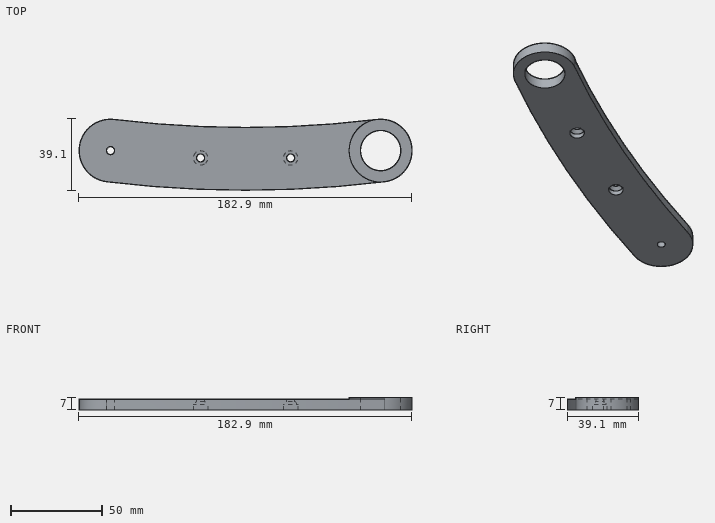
import cadquery as cq
import math

length = 182.95
arm_width = 34.6
overall_width = 39.12
plate_thickness = 6.0
ring_height = 7.0
ring_bore = 22.0
screw_hole_diameter = 4.3
head_diameter = 7.9
head_recess_depth = 3.0
span_divisions = 3

end_radius = arm_width / 2
span = length - arm_width
bow = overall_width - arm_width
arc_radius = ((span / 2) ** 2 + bow ** 2) / (2 * bow)
arc_center_x = span / 2
arc_center_y = arc_radius - bow
hole_pitch = span / span_divisions


def point_on_arc(x, offset=0.0):
    """Point where the arc radius through the centreline at x meets an offset arc."""
    across = x - arc_center_x
    down = math.sqrt(arc_radius ** 2 - across ** 2)
    scale = (arc_radius + offset) / arc_radius
    return (arc_center_x + across * scale, arc_center_y - down * scale)


def make_arm():
    """Curved plate of constant width with tangent round ends."""
    outer, inner = end_radius, -end_radius
    return (
        cq.Workplane("XY")
        .moveTo(*point_on_arc(0, outer))
        .threePointArc(point_on_arc(span / 2, outer), point_on_arc(span, outer))
        .tangentArcPoint(point_on_arc(span, inner), relative=False)
        .threePointArc(point_on_arc(span / 2, inner), point_on_arc(0, inner))
        .tangentArcPoint(point_on_arc(0, outer), relative=False)
        .close()
        .extrude(plate_thickness)
    )


def make_disc(center, diameter, height):
    """Upright cylinder standing on the underside of the part."""
    return cq.Workplane("XY").center(*center).circle(diameter / 2).extrude(height)


def make_head_recess(center):
    """Straight recess from the underside, closing at 45 degrees onto the screw hole."""
    seat_height = (head_diameter - screw_hole_diameter) / 2
    seat = cq.Solid.makeCone(
        head_diameter / 2,
        screw_hole_diameter / 2,
        seat_height,
        pnt=cq.Vector(*center, head_recess_depth),
    )
    return make_disc(center, head_diameter, head_recess_depth).union(cq.Workplane(seat))


ring_center = point_on_arc(span)
result = make_arm().union(make_disc(ring_center, arm_width, ring_height))
result = result.cut(make_disc(ring_center, ring_bore, ring_height))

hole_centers = [point_on_arc(index * hole_pitch) for index in range(span_divisions)]
for hole_center in hole_centers:
    result = result.cut(make_disc(hole_center, screw_hole_diameter, plate_thickness))
for hole_center in hole_centers[1:]:
    result = result.cut(make_head_recess(hole_center))